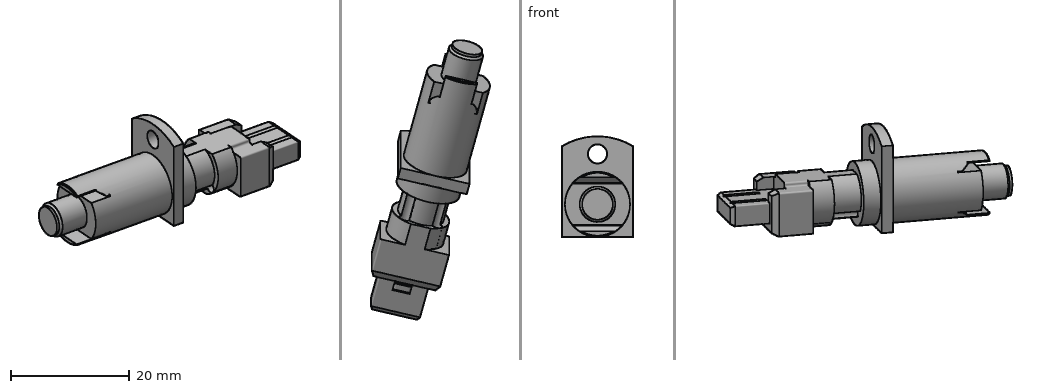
import cadquery as cq
import math

total_length = 50.0

plunger_shoulder_y = 0.5
plunger_chamfer_y = 0.9
prong_front_y = 4.0
cheek_front_y = 6.0
prong_root_y = 8.0
ramp_end_y = 9.25
slot_end_y = 10.0
flange_front_y = 22.0
barrel_rear_y = 27.0
collar_front_y = 32.0
block_front_y = 36.0
key_rear_y = 40.2
block_rear_y = 43.2

plunger_radius = 3.0
plunger_tip_radius = 2.6

barrel_radius = 5.5
cheek_half_height = 3.5
slot_clearance = 0.15
prong_inner_z = 4.55
prong_half_width = 2.75
prong_chamfer = 0.2

flange_width = 12.0
flange_thickness = 2.0
flange_top_radius = 11.5
flange_bottom_z = -5.55
flange_hole_z = 8.5
flange_hole_diameter = 3.2

neck_radius = 4.0
collar_radius = 5.0
flat_top_z = 3.8
flat_bottom_z = -4.7
neck_groove_radius = 0.95
neck_groove_angle = math.radians(46.0)

block_width = 12.0
block_top_z = 3.05
block_edge_radius = 0.3
block_chamfer_length = 1.2
block_chamfer_inset = 0.6
notch_width = 7.1
key_width = 5.6
key_fillet = 0.35

tail_width = 8.6
tail_top_z = 0.9
tail_bottom_z = -2.75
tail_edge_radius = 0.2
tail_chamfer_length = 0.75
tail_chamfer_inset = 0.4
groove_x = 2.05
groove_half_width = 0.45
groove_depth = 0.125
latch_width = 3.0
latch_front_y = 44.0
latch_ramp_foot_y = 45.5
latch_ramp_top_y = 45.1
latch_height = 0.45
latch_pad_height = 0.2
latch_edge_radius = 0.4


def section_at(y):
    """XZ sketch plane at station y whose extrusions run toward +Y."""
    return cq.Workplane(cq.Plane(origin=(0, y, 0), xDir=(1, 0, 0), normal=(0, 1, 0)))


def sketch_z(z):
    """Local sketch coordinate of height z on a section_at plane."""
    return -z


def cylinder(radius, y_start, y_end):
    return section_at(y_start).circle(radius).extrude(y_end - y_start)


def centred_box(width, y_start, y_end, z_bottom, z_top):
    """Box centred on X = 0."""
    return (
        cq.Workplane("XY", origin=(0, (y_start + y_end) / 2, z_bottom))
        .rect(width, y_end - y_start)
        .extrude(z_top - z_bottom)
    )


def side_prism(points, width):
    """Prism from a closed (Y, Z) outline, centred on X = 0."""
    return cq.Workplane("YZ").polyline(points).close().extrude(width / 2, both=True)


def make_plunger():
    outline = [
        (0, 0),
        (plunger_tip_radius, 0),
        (plunger_tip_radius, plunger_shoulder_y),
        (plunger_radius, plunger_chamfer_y),
        (plunger_radius, slot_end_y),
        (0, slot_end_y),
    ]
    return cq.Workplane("XY").polyline(outline).close().revolve(360, (0, 0, 0), (0, 1, 0))


def make_barrel():
    barrel = cylinder(barrel_radius, prong_front_y, barrel_rear_y).faces("<Y").chamfer(prong_chamfer)

    cheek_cut = centred_box(
        2 * barrel_radius, prong_front_y, cheek_front_y, -prong_inner_z, prong_inner_z
    )
    barrel = barrel.cut(cheek_cut)

    ramp_inner_z = cheek_half_height + slot_clearance
    slot_outline = [
        (prong_front_y, cheek_half_height),
        (slot_end_y, cheek_half_height),
        (slot_end_y, ramp_inner_z),
        (ramp_end_y, ramp_inner_z),
        (prong_root_y, prong_inner_z),
        (prong_front_y, prong_inner_z),
    ]
    slot = side_prism(slot_outline, 2 * barrel_radius)
    barrel = barrel.cut(slot).cut(slot.mirror("XY"))

    prong_zone = centred_box(
        2 * barrel_radius, prong_front_y, prong_root_y, prong_inner_z, barrel_radius
    )
    prong_core = centred_box(
        2 * prong_half_width, prong_front_y, prong_root_y, prong_inner_z, barrel_radius
    )
    prong_trim = prong_zone.cut(prong_core)
    return barrel.cut(prong_trim).cut(prong_trim.mirror("XY"))


def make_flange():
    half_width = flange_width / 2
    corner_z = math.sqrt(flange_top_radius**2 - half_width**2)
    plate = (
        section_at(flange_front_y)
        .moveTo(-half_width, sketch_z(flange_bottom_z))
        .lineTo(half_width, sketch_z(flange_bottom_z))
        .lineTo(half_width, sketch_z(corner_z))
        .threePointArc((0, sketch_z(flange_top_radius)), (-half_width, sketch_z(corner_z)))
        .close()
        .extrude(flange_thickness)
    )
    hole = (
        section_at(flange_front_y)
        .center(0, sketch_z(flange_hole_z))
        .circle(flange_hole_diameter / 2)
        .extrude(flange_thickness)
    )
    return plate.cut(hole)


def make_neck_and_collar():
    """Flattened neck and collar; two bores open the neck sides and run on into the collar."""
    neck = cylinder(neck_radius, barrel_rear_y, collar_front_y)
    groove_centre_x = neck_radius * math.cos(neck_groove_angle)
    groove_centre_z = -neck_radius * math.sin(neck_groove_angle)
    grooves = (
        section_at(barrel_rear_y)
        .pushPoints([(side * groove_centre_x, sketch_z(groove_centre_z)) for side in (-1, 1)])
        .circle(neck_groove_radius)
        .extrude(block_front_y - barrel_rear_y)
    )
    collar = cylinder(collar_radius, collar_front_y, block_front_y)
    flats = centred_box(2 * collar_radius, barrel_rear_y, block_front_y, flat_bottom_z, flat_top_z)
    return neck.union(collar).cut(grooves).intersect(flats)


def plug_body(width, y_start, y_end, z_bottom, z_top, chamfer_length, chamfer_inset, edge_radius):
    """Box with a chamfered rear end and rounded lengthwise edges."""
    front = centred_box(width, y_start, y_end - chamfer_length, z_bottom, z_top)
    front = front.edges("|Y").fillet(edge_radius)
    z_middle = (z_bottom + z_top) / 2
    height = z_top - z_bottom
    rear = (
        section_at(y_end - chamfer_length)
        .center(0, sketch_z(z_middle))
        .rect(width, height)
        .workplane(offset=chamfer_length)
        .rect(width - 2 * chamfer_inset, height - 2 * chamfer_inset)
        .loft(ruled=True)
    )
    rounding = centred_box(width, y_start, y_end, z_bottom, z_top).edges("|Y").fillet(edge_radius)
    return front.union(rear.intersect(rounding))


def make_block():
    block = plug_body(
        block_width, block_front_y, block_rear_y, flat_bottom_z, block_top_z,
        block_chamfer_length, block_chamfer_inset, block_edge_radius,
    )
    notch = centred_box(notch_width, key_rear_y, block_rear_y, tail_top_z, block_top_z)
    return block.cut(notch)


def make_key():
    """Raised key whose sides blend into the block top through concave fillets."""
    half_width = key_width / 2
    foot = half_width + key_fillet
    crest = half_width - key_fillet
    bend = key_fillet * (1 - math.sqrt(0.5))
    base_z = sketch_z(block_top_z)
    concave_z = sketch_z(block_top_z + key_fillet)
    convex_z = sketch_z(flat_top_z - key_fillet)
    crest_z = sketch_z(flat_top_z)
    concave_mid_z = sketch_z(block_top_z + bend)
    convex_mid_z = sketch_z(flat_top_z - bend)
    return (
        section_at(block_front_y)
        .moveTo(-foot, base_z)
        .threePointArc((-half_width - bend, concave_mid_z), (-half_width, concave_z))
        .lineTo(-half_width, convex_z)
        .threePointArc((-half_width + bend, convex_mid_z), (-crest, crest_z))
        .lineTo(crest, crest_z)
        .threePointArc((half_width - bend, convex_mid_z), (half_width, convex_z))
        .lineTo(half_width, concave_z)
        .threePointArc((half_width + bend, concave_mid_z), (foot, base_z))
        .close()
        .extrude(key_rear_y - block_front_y)
    )


def make_tail():
    tail = plug_body(
        tail_width, key_rear_y, total_length, tail_bottom_z, tail_top_z,
        tail_chamfer_length, tail_chamfer_inset, tail_edge_radius,
    )
    groove_radius = (groove_half_width**2 + groove_depth**2) / (2 * groove_depth)
    groove_centre_z = tail_top_z - groove_depth + groove_radius
    grooves = (
        section_at(key_rear_y)
        .pushPoints([(side * groove_x, sketch_z(groove_centre_z)) for side in (-1, 1)])
        .circle(groove_radius)
        .extrude(total_length - key_rear_y)
    )
    return tail.cut(grooves)


def make_latch():
    """Ramped latch nose under the tail, with a low pad between it and the block."""
    latch_outline = [
        (block_rear_y, tail_bottom_z),
        (latch_ramp_foot_y, tail_bottom_z),
        (latch_ramp_top_y, tail_bottom_z - latch_height),
        (latch_front_y, tail_bottom_z - latch_height),
        (latch_front_y, tail_bottom_z - latch_pad_height),
        (block_rear_y, tail_bottom_z - latch_pad_height),
    ]
    nose = side_prism(latch_outline, latch_width)
    rounding = centred_box(
        latch_width, block_rear_y, latch_ramp_foot_y, tail_bottom_z - latch_height, tail_bottom_z
    )
    rounding = rounding.edges("|Y and <Z").fillet(latch_edge_radius)
    return nose.intersect(rounding)


result = (
    make_plunger()
    .union(make_barrel())
    .union(make_flange())
    .union(make_neck_and_collar())
    .union(make_block().union(make_tail()))
    .union(make_key())
    .union(make_latch())
)